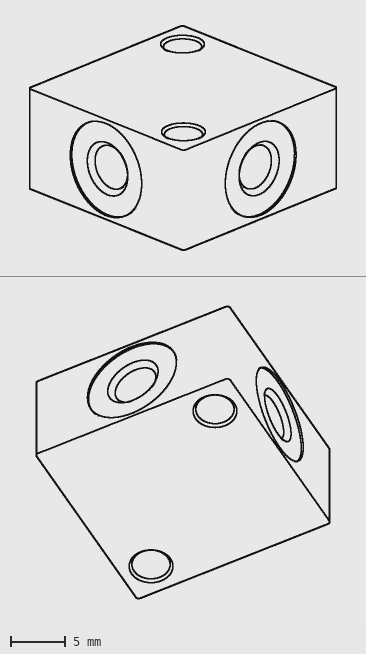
import cadquery as cq

side = 20.0
height = 10.0
edge_radius = 0.3

port_diameter = 4.2
port_mouth_diameter = 5.2
port_chamfer = (port_mouth_diameter - port_diameter) / 2
spotface_diameter = 9.2
spotface_depth = 0.2

mount_diameter = 3.5
mount_mouth_diameter = 4.0
mount_chamfer = (mount_mouth_diameter - mount_diameter) / 2
mount_offset = 7.0


def chamfered_bore(length, diameter, chamfer):
    """Cutter along Z, centred on the origin, widening by 45 degrees at both ends."""
    radius = diameter / 2
    mouth = radius + chamfer
    end = length / 2
    profile = [
        (0, -end),
        (mouth, -end),
        (radius, -end + chamfer),
        (radius, end - chamfer),
        (mouth, end),
        (0, end),
    ]
    return cq.Workplane("XZ").polyline(profile).close().revolve(360, (0, 0), (0, 1))


def port_cutter():
    """Through port along Z with a shallow spotface at each end."""
    cutter = chamfered_bore(side - 2 * spotface_depth, port_diameter, port_chamfer)
    for start in (-side / 2, side / 2 - spotface_depth):
        spotface = cq.Workplane("XY", origin=(0, 0, start)).circle(spotface_diameter / 2)
        cutter = cutter.union(spotface.extrude(spotface_depth))
    return cutter


block = cq.Workplane("XY").box(side, side, height).edges("|Z").fillet(edge_radius)

for axis in ((1, 0, 0), (0, 1, 0)):
    block = block.cut(port_cutter().rotate((0, 0, 0), axis, 90))

mount_cutter = chamfered_bore(height, mount_diameter, mount_chamfer)
for direction in (-1, 1):
    x = direction * mount_offset
    block = block.cut(mount_cutter.translate((x, -x, 0)))

result = block